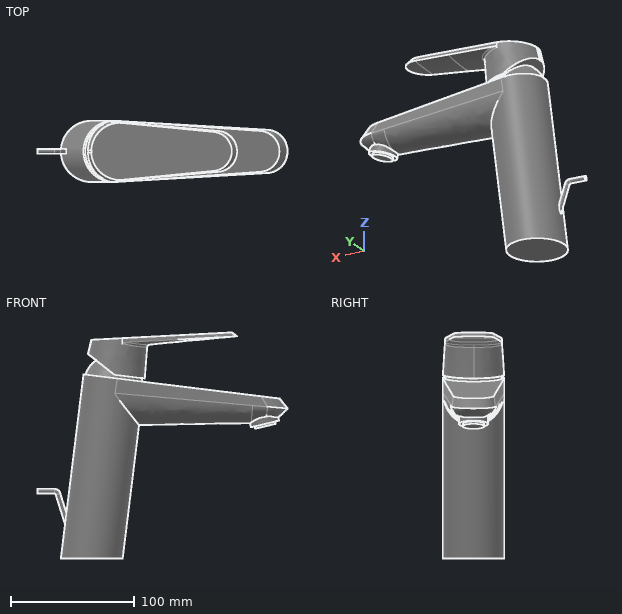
import cadquery as cq
import math

BODY_LEAN = 7.0

COLUMN_R = 25.0
COLUMN_TOP = 147.5

SPOUT_ROOT_R = 24.99
SPOUT_TOP_TIP_R = 16.5
SPOUT_TOP_REACH = 135.4
SPOUT_RIM_TIP_R = 17.7
SPOUT_RIM_REACH = 143.08
SPOUT_RIM_HEIGHT = 135.55
SPOUT_RIM_RISE = 1.86
SPOUT_ROOT_DEPTH = 26.9
SPOUT_DEPTH_SLOPE = 0.107
SPOUT_LIFT_START = 114.3
SPOUT_LIFT_SLOPE = 0.31
SPOUT_NOSE_SLOPE = 1.20

AERATOR_D = 23.6
AERATOR_OUTLET_D = 17.4
AERATOR_TURN = 13.5
AERATOR_X = 126.2
AERATOR_Z = 125.5
AERATOR_HEIGHT = 12.0
OUTLET_HEIGHT = 2.0

DOME_R = 24.0
DOME_CENTRE_DROP = 5.0

HEAD_R = 25.0
HEAD_GAP = 2.7
HEAD_TOP_R = 23.1
HEAD_TOP_X = 0.7
HEAD_TOP_Z = 180.22
HEAD_REAR_LIFT = 15.2
LEVER_RISE = 10.0

HEAD_GROOVE_WIDTH = 2.0
HEAD_GROOVE_DEPTH = 0.3

LEVER_TOP_TIP_R = 15.8
LEVER_TOP_REACH = 91.1
LEVER_RIM_ROOT_R = 23.5
LEVER_RIM_TIP_R = 16.7
LEVER_RIM_REACH = 95.2
LEVER_RIM_DROP = 3.5
LEVER_DEPTH_SLOPE = 0.045
LEVER_NECK_FILLET = 2.0

ROD_R = 2.0
ROD_END_X = -44.2
ROD_Z = 54.7
ROD_BEND_X = -30.5
ROD_BEND_R = 3.2
ROD_BEND_ANGLE = 72.5
ROD_DROP_LENGTH = 32.0

NOSE_SECTIONS = 5
NOSE_END_ANGLE = 86


def tilted(origin, rise):
    """Plane whose X axis climbs by `rise` degrees toward +X."""
    angle = math.radians(rise)
    return cq.Plane(
        origin=origin,
        xDir=(math.cos(angle), 0, math.sin(angle)),
        normal=(-math.sin(angle), 0, math.cos(angle)),
    )


def taper(root_r, tip_r, reach):
    """Tip circle centre and sine of the side angle of an outline tangent to two circles."""
    tip_x = reach - tip_r
    return tip_x, (root_r - tip_r) / tip_x


def outline(plane, root_r, tip_r, reach):
    """Blade outline: two sides tangent to a root circle and a round tip, squared off at the root."""
    tip_x, sine = taper(root_r, tip_r, reach)
    cosine = math.sqrt(1 - sine**2)
    return (
        cq.Workplane(plane)
        .moveTo(root_r * sine, -root_r * cosine)
        .lineTo(tip_x + tip_r * sine, -tip_r * cosine)
        .threePointArc((reach, 0), (tip_x + tip_r * sine, tip_r * cosine))
        .lineTo(root_r * sine, root_r * cosine)
        .close()
        .wires()
        .val()
    )


def half_ellipse(x, half_width, depth):
    return (
        cq.Workplane("YZ", origin=(x, 0, 0))
        .moveTo(-half_width, 0)
        .ellipseArc(half_width, depth, 180, 360, startAtCurrent=True)
        .close()
        .wires()
        .val()
    )


def belly(plane, root_r, tip_r, reach, depth_at, bend_x):
    """Rounded underside hanging from a blade outline, with half-ellipse sections and a bend at bend_x."""
    tip_x, sine = taper(root_r, tip_r, reach)
    cosine = math.sqrt(1 - sine**2)
    side_angle = math.asin(sine)
    start_x = root_r * sine
    shoulder_x = tip_x + tip_r * sine
    shoulder = half_ellipse(shoulder_x, tip_r * cosine, depth_at(shoulder_x))
    sections = [shoulder]
    for i in range(1, NOSE_SECTIONS + 1):
        angle = side_angle + (math.radians(NOSE_END_ANGLE) - side_angle) * i / NOSE_SECTIONS
        x = tip_x + tip_r * math.sin(angle)
        sections.append(half_ellipse(x, tip_r * math.cos(angle), depth_at(x)))
    root = half_ellipse(start_x, root_r * cosine, depth_at(start_x))
    bend_half_width = (root_r - bend_x * sine) / cosine
    bend = half_ellipse(bend_x, bend_half_width, depth_at(bend_x))
    shank = cq.Solid.makeLoft([root, bend, shoulder], True)
    nose = cq.Solid.makeLoft(sections, False)
    return cq.Workplane(shank.fuse(nose).moved(cq.Location(plane)))


def spout_depth(x):
    lift = SPOUT_LIFT_SLOPE * max(0, x - SPOUT_LIFT_START)
    shank_start = min(x, SPOUT_LIFT_START)
    shank = SPOUT_ROOT_DEPTH - SPOUT_DEPTH_SLOPE * shank_start - lift
    nose = SPOUT_NOSE_SLOPE * (SPOUT_RIM_REACH - x)
    return min(shank, nose)


def lever_depth(x):
    return LEVER_DEPTH_SLOPE * (LEVER_RIM_REACH - x)


def blade(top_plane, top_sizes, rim_plane, rim_sizes):
    return cq.Workplane(
        cq.Solid.makeLoft([outline(rim_plane, *rim_sizes), outline(top_plane, *top_sizes)], True)
    )


def make_column():
    below = COLUMN_R
    return cq.Workplane("XY", origin=(0, 0, -below)).circle(COLUMN_R).extrude(COLUMN_TOP + below)


def make_spout():
    rim_plane = tilted((0, 0, SPOUT_RIM_HEIGHT), SPOUT_RIM_RISE)
    rim = (SPOUT_ROOT_R, SPOUT_RIM_TIP_R, SPOUT_RIM_REACH)
    top = (SPOUT_ROOT_R, SPOUT_TOP_TIP_R, SPOUT_TOP_REACH)
    upper = blade(tilted((0, 0, COLUMN_TOP), 0), top, rim_plane, rim)
    return upper.union(belly(rim_plane, *rim, spout_depth, SPOUT_LIFT_START))


def make_aerator():
    face = cq.Workplane(tilted((AERATOR_X, 0, AERATOR_Z), BODY_LEAN + AERATOR_TURN))
    holder = face.circle(AERATOR_D / 2).extrude(AERATOR_HEIGHT)
    outlet = face.circle(AERATOR_OUTLET_D / 2).extrude(-OUTLET_HEIGHT)
    return holder.union(outlet)


def make_dome():
    sphere = cq.Workplane("XY", origin=(0, 0, COLUMN_TOP - DOME_CENTRE_DROP)).sphere(DOME_R)
    above = cq.Workplane("XY", origin=(0, 0, COLUMN_TOP)).circle(COLUMN_R).extrude(COLUMN_R)
    return sphere.intersect(above)


def make_rod():
    bend = math.radians(ROD_BEND_ANGLE)
    centre_z = ROD_Z - ROD_BEND_R

    def on_bend(angle):
        return (ROD_BEND_X + ROD_BEND_R * math.sin(angle), centre_z + ROD_BEND_R * math.cos(angle))

    bend_end = on_bend(bend)
    rod_end = (
        bend_end[0] + ROD_DROP_LENGTH * math.cos(bend),
        bend_end[1] - ROD_DROP_LENGTH * math.sin(bend),
    )
    path = (
        cq.Workplane("XZ")
        .moveTo(ROD_END_X, ROD_Z)
        .lineTo(ROD_BEND_X, ROD_Z)
        .threePointArc(on_bend(bend / 2), bend_end)
        .lineTo(*rod_end)
    )
    return cq.Workplane("YZ", origin=(ROD_END_X, 0, ROD_Z)).circle(ROD_R).sweep(path)


def lean(body):
    return body.rotate((0, 0, 0), (0, 1, 0), BODY_LEAN)


def make_housing():
    leaning = lean(make_column().union(make_spout()).union(make_aerator()).union(make_dome()))
    ground = cq.Workplane("XY").box(6 * COLUMN_R, 6 * COLUMN_R, 4 * COLUMN_R, centered=(True, True, False))
    return leaning.cut(ground.translate((0, 0, -4 * COLUMN_R))).union(make_rod())


def make_lever_head(top_plane):
    bottom_z = COLUMN_TOP + HEAD_GAP
    bottom = cq.Workplane("XY", origin=(0, 0, bottom_z)).circle(HEAD_R).wires().val()
    top = cq.Workplane(top_plane).circle(HEAD_TOP_R).wires().val()
    head = cq.Workplane(cq.Solid.makeLoft([bottom, top], True))
    undercut = (
        cq.Workplane("XZ")
        .moveTo(0, bottom_z)
        .lineTo(-2 * HEAD_R, bottom_z + 2 * HEAD_REAR_LIFT)
        .lineTo(-2 * HEAD_R, bottom_z)
        .close()
        .extrude(2 * HEAD_R, both=True)
    )
    lean_angle = math.radians(LEVER_RISE)
    groove_foot = (HEAD_GROOVE_DEPTH - HEAD_R, bottom_z)
    groove_top = (
        HEAD_TOP_X - HEAD_TOP_R * math.cos(lean_angle) + HEAD_GROOVE_DEPTH,
        HEAD_TOP_Z - HEAD_TOP_R * math.sin(lean_angle),
    )
    groove = (
        cq.Workplane("XZ")
        .polyline([groove_foot, groove_top, (-2 * HEAD_R, groove_top[1]), (-2 * HEAD_R, bottom_z)])
        .close()
        .extrude(HEAD_GROOVE_WIDTH / 2, both=True)
    )
    return head.cut(undercut).cut(groove)


def make_lever():
    top_plane = tilted((HEAD_TOP_X, 0, HEAD_TOP_Z), LEVER_RISE)
    rim_plane = tilted(top_plane.toWorldCoords((0, 0, -LEVER_RIM_DROP)).toTuple(), LEVER_RISE)
    rim = (LEVER_RIM_ROOT_R, LEVER_RIM_TIP_R, LEVER_RIM_REACH)
    top = (HEAD_TOP_R, LEVER_TOP_TIP_R, LEVER_TOP_REACH)
    lever = make_lever_head(top_plane).union(blade(top_plane, top, rim_plane, rim))
    lever = lever.union(belly(rim_plane, *rim, lever_depth, LEVER_RIM_REACH / 2))
    front_neck = cq.selectors.BoxSelector(
        (HEAD_R / 4, -0.8 * HEAD_R, HEAD_TOP_Z - HEAD_R / 2),
        (HEAD_R, 0.8 * HEAD_R, HEAD_TOP_Z),
    )
    lever = lever.edges(front_neck).fillet(LEVER_NECK_FILLET)
    return lean(lever.cut(make_dome()))


housing = make_housing()
lever = make_lever()
result = cq.Compound.makeCompound([housing.val(), lever.val()])